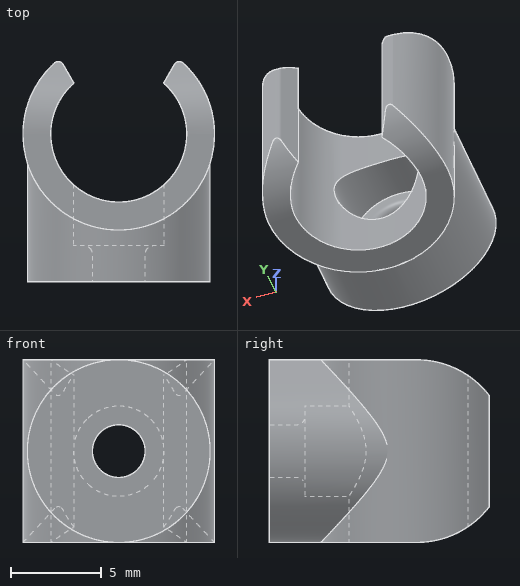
import cadquery as cq
import math

ring_diameter = 10.6
bore_diameter = 7.5
ring_radius = ring_diameter / 2
bore_radius = bore_diameter / 2

mouth_half_width = 2.47
mouth_face_angle = 60
tip_fillet = 0.32

stem_diameter = 10.1
stem_radius = stem_diameter / 2
stem_reach = 8.15

hole_diameter = 2.9
recess_diameter = 4.99
recess_floor_depth = 2.0
hole_rim_fillet = 0.5


def cylinder_along_z(diameter):
    return cq.Workplane("XY").circle(diameter / 2).extrude(stem_radius, both=True)


def mouth_wedge():
    """Wedge that opens the ring between its two end faces."""
    inner_y = math.sqrt(bore_radius**2 - mouth_half_width**2)
    outer_y = 2 * ring_radius
    outer_x = mouth_half_width + (outer_y - inner_y) / math.tan(math.radians(mouth_face_angle))
    return (
        cq.Workplane("XY")
        .moveTo(-mouth_half_width, 0)
        .lineTo(-mouth_half_width, inner_y)
        .lineTo(-outer_x, outer_y)
        .lineTo(outer_x, outer_y)
        .lineTo(mouth_half_width, inner_y)
        .lineTo(mouth_half_width, 0)
        .close()
        .extrude(stem_radius, both=True)
    )


def clip_ring():
    """Open ring with rounded tips, its arms rounded off above and below."""
    ring = cylinder_along_z(ring_diameter).cut(cylinder_along_z(bore_diameter)).cut(mouth_wedge())
    ring = ring.edges("|Z and >Y").fillet(tip_fillet)
    arm_rounding = cq.Workplane("YZ").circle(stem_radius).extrude(ring_radius, both=True)
    rear_half = (
        cq.Workplane("XY")
        .box(ring_diameter, ring_radius, stem_diameter, centered=(True, False, True))
        .translate((0, -ring_radius, 0))
    )
    return ring.intersect(arm_rounding.union(rear_half))


def stem():
    """Round stem running into the ring, cleared by the bore."""
    solid_stem = cq.Workplane("XZ").circle(stem_radius).extrude(stem_reach)
    return solid_stem.cut(cylinder_along_z(bore_diameter))


def screw_passage():
    """Space for the screw: hole, rounded inner rim and head recess, turned about Y."""
    hole_radius = hole_diameter / 2
    recess_radius = recess_diameter / 2
    floor_y = recess_floor_depth - stem_reach
    rim_sag = hole_rim_fillet * math.sqrt(0.5)
    rim_centre = (hole_radius + hole_rim_fillet, floor_y - hole_rim_fillet)
    return (
        cq.Workplane("XY")
        .moveTo(0, -stem_reach)
        .lineTo(hole_radius, -stem_reach)
        .lineTo(hole_radius, rim_centre[1])
        .threePointArc((rim_centre[0] - rim_sag, rim_centre[1] + rim_sag), (rim_centre[0], floor_y))
        .lineTo(recess_radius, floor_y)
        .lineTo(recess_radius, 0)
        .lineTo(0, 0)
        .close()
        .revolve(360, (0, 0, 0), (0, 1, 0))
    )


result = clip_ring().union(stem()).cut(screw_passage())